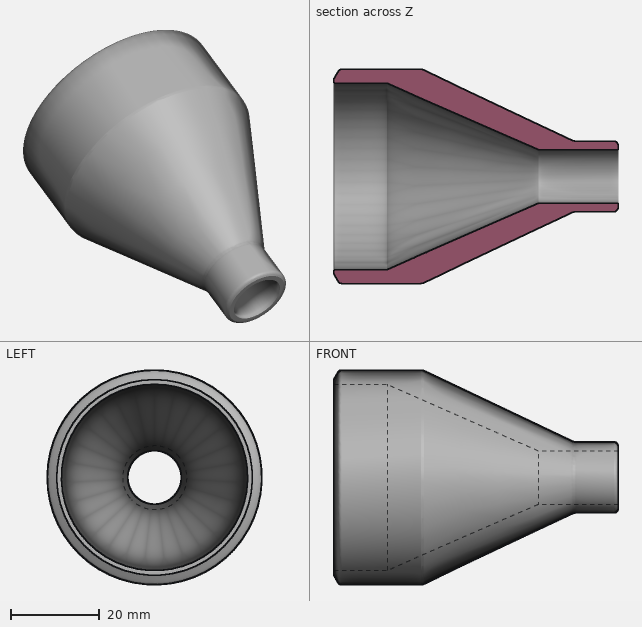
import cadquery as cq
import math

length = 64.0
wide_outer_radius = 48.3 / 2
wide_bore_radius = 41.9 / 2
neck_outer_radius = 16.0 / 2
neck_bore_radius = 12.0 / 2
wide_length = 20.0
neck_length = 10.0
neck_start = length - neck_length
cone_length = neck_start - wide_length

bore_cone_start = 12.0

bevel_angle = 30.0
wide_land = 1.05
neck_land = 1.2
bevel_slope = math.tan(math.radians(bevel_angle))
wide_bevel_inner_radius = wide_bore_radius + wide_land
neck_bevel_inner_radius = neck_bore_radius + neck_land
wide_bevel_depth = (wide_outer_radius - wide_bevel_inner_radius) * bevel_slope
neck_bevel_depth = (neck_outer_radius - neck_bevel_inner_radius) * bevel_slope

bevel_round = 0.9
bore_round = 0.3
cone_round = 1.5


def revolve_about_x(points):
    """Turn a closed (x, radius) outline about the X axis."""
    return cq.Workplane("XZ").polyline(points).close().revolve(360, (0, 0, 0), (1, 0, 0))


def circle_edge(body, x, radius):
    """Select the circular edge of the given radius centred on the X axis at x."""
    tolerance = 0.01
    return body.edges(
        cq.selectors.BoxSelector(
            (x - tolerance, -radius - tolerance, -radius - tolerance),
            (x + tolerance, radius + tolerance, radius + tolerance),
            boundingbox=True,
        )
    )


def make_outer_body():
    """Solid outer shape with both bevels and all rounded corners."""
    wide_corner = wide_bevel_depth
    neck_corner = length - neck_bevel_depth
    body = revolve_about_x([
        (0, 0),
        (0, wide_bevel_inner_radius),
        (wide_corner, wide_outer_radius),
        (wide_length, wide_outer_radius),
        (neck_start, neck_outer_radius),
        (neck_corner, neck_outer_radius),
        (length, neck_bevel_inner_radius),
        (length, 0),
    ])
    rounds = [
        (wide_corner, wide_outer_radius, bevel_round),
        (wide_length, wide_outer_radius, cone_round),
        (neck_start, neck_outer_radius, cone_round),
        (neck_corner, neck_outer_radius, bevel_round),
    ]
    for x, radius, round_radius in rounds:
        body = circle_edge(body, x, radius).fillet(round_radius)
    return body


def make_bore():
    """Through passage: wide cylinder, cone, then narrow cylinder."""
    return revolve_about_x([
        (0, 0),
        (0, wide_bore_radius),
        (bore_cone_start, wide_bore_radius),
        (bore_cone_start + cone_length, neck_bore_radius),
        (length, neck_bore_radius),
        (length, 0),
    ])


reducer = make_outer_body().cut(make_bore())
result = circle_edge(reducer, 0, wide_bore_radius).fillet(bore_round)